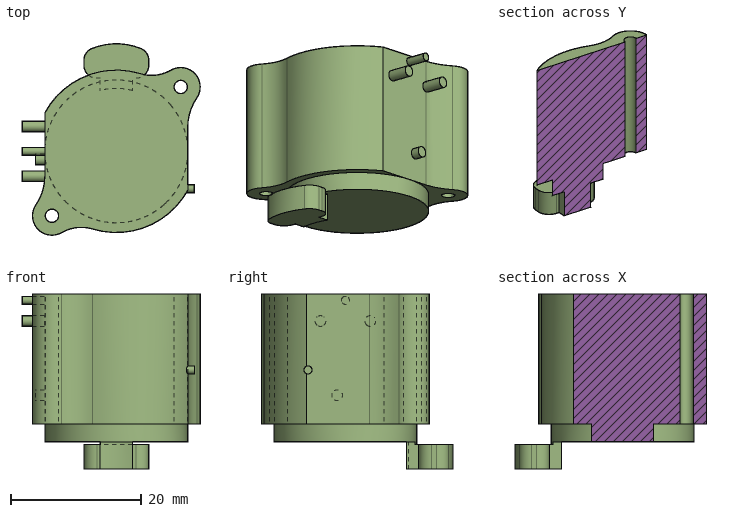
import cadquery as cq
import math

body_height = 20.0
body_radius = 12.5
flat_x = 11.0
ear_radius = 3.0
ear_circle_radius = 14.0
ear_angle = math.radians(45)
hole_radius = 1.0
flat_blend_radius = 8.0
round_blend_radius = 6.0

base_height = 2.7
base_radius = flat_x

lever_bottom = -6.9
lever_height = 3.8
lever_top = lever_bottom + lever_height
lever_half_width = 5.0
lever_tip_y = 16.55
lever_tip_radius = 10.0
lever_corner_radius = 2.0
lever_inner_y = 11.25
neck_half_width = 2.5
neck_inner_radius = 9.7

pin_root_x = 8.85
long_pin_x = -14.47
left_pin_radius = 0.83
small_pin_radius = 0.62
upper_pin_y = 3.83
upper_pin_z = 15.85
pins = [
    (long_pin_x, upper_pin_y, upper_pin_z, left_pin_radius),
    (long_pin_x, -upper_pin_y, upper_pin_z, left_pin_radius),
    (long_pin_x, 0, 19.05, small_pin_radius),
    (-12.45, -1.27, 4.45, left_pin_radius),
    (12.0, -5.75, 8.35, small_pin_radius),
]

ear_x = ear_circle_radius * math.cos(ear_angle)
ear_y = ear_circle_radius * math.sin(ear_angle)


def toward(start, end, distance):
    """Point at a given distance from start on the line toward end."""
    length = math.dist(start, end)
    return tuple(a + (b - a) * distance / length for a, b in zip(start, end))


def half_turn(solid):
    return solid.rotate((0, 0, 0), (0, 0, 1), 180)


def make_ear():
    """Ear in the +X +Y corner with tangent hollows on both sides."""
    ear_center = (ear_x, ear_y)

    flat_blend_x = flat_x + flat_blend_radius
    flat_reach = ear_radius + flat_blend_radius
    flat_blend_y = ear_y - math.sqrt(flat_reach**2 - (flat_blend_x - ear_x)**2)
    flat_blend = (flat_blend_x, flat_blend_y)

    wall_reach = body_radius + round_blend_radius
    ear_reach = ear_radius + round_blend_radius
    cosine = (wall_reach**2 + ear_circle_radius**2 - ear_reach**2) / (2 * wall_reach * ear_circle_radius)
    blend_angle = ear_angle + math.acos(cosine)
    round_blend = (wall_reach * math.cos(blend_angle), wall_reach * math.sin(blend_angle))

    ear_tip_reach = ear_circle_radius + ear_radius
    ear_tip = (ear_tip_reach * math.cos(ear_angle), ear_tip_reach * math.sin(ear_angle))
    return (
        cq.Workplane("XY")
        .lineTo(flat_x, 0)
        .lineTo(flat_x, flat_blend_y)
        .threePointArc(
            toward(flat_blend, (flat_x, ear_y - ear_radius / 2), flat_blend_radius),
            toward(flat_blend, ear_center, flat_blend_radius),
        )
        .threePointArc(ear_tip, toward(round_blend, ear_center, round_blend_radius))
        .threePointArc(
            toward(round_blend, (ear_x / 2, ear_y), round_blend_radius),
            toward((0, 0), round_blend, body_radius),
        )
        .close()
        .extrude(body_height)
    )


def make_housing():
    flats = cq.Workplane("XY").box(2 * flat_x, 2 * body_radius, body_height, centered=(True, True, False))
    core = cq.Workplane("XY").circle(body_radius).extrude(body_height).intersect(flats)
    ear = make_ear()
    holes = (
        cq.Workplane("XY")
        .pushPoints([(ear_x, ear_y), (-ear_x, -ear_y)])
        .circle(hole_radius)
        .extrude(body_height)
    )
    return core.union(ear).union(half_turn(ear)).cut(holes)


def make_lever():
    """Rounded paddle with a neck that joins it to the base."""
    tip_center = (0, lever_tip_y - lever_tip_radius)
    corner_x = lever_half_width - lever_corner_radius
    corner_offset = math.sqrt((lever_tip_radius - lever_corner_radius)**2 - corner_x**2)
    outer_corner_y = tip_center[1] + corner_offset
    inner_corner_y = lever_inner_y + lever_corner_radius
    tip_end = toward(tip_center, (corner_x, outer_corner_y), lever_tip_radius)
    diagonal = lever_corner_radius * math.sqrt(0.5)
    paddle = (
        cq.Workplane("XY", origin=(0, 0, lever_bottom))
        .moveTo(-corner_x, lever_inner_y)
        .lineTo(corner_x, lever_inner_y)
        .threePointArc(
            (corner_x + diagonal, inner_corner_y - diagonal),
            (lever_half_width, inner_corner_y),
        )
        .lineTo(lever_half_width, outer_corner_y)
        .threePointArc((corner_x + diagonal, outer_corner_y + diagonal), tip_end)
        .threePointArc((0, lever_tip_y), (-tip_end[0], tip_end[1]))
        .threePointArc(
            (-corner_x - diagonal, outer_corner_y + diagonal),
            (-lever_half_width, outer_corner_y),
        )
        .lineTo(-lever_half_width, inner_corner_y)
        .threePointArc(
            (-corner_x - diagonal, inner_corner_y - diagonal),
            (-corner_x, lever_inner_y),
        )
        .close()
        .extrude(lever_height)
    )

    neck_height = -base_height - lever_bottom
    strip = (
        cq.Workplane("XY", origin=(0, 0, lever_bottom))
        .rect(2 * neck_half_width, 2 * lever_inner_y)
        .extrude(neck_height)
        .intersect(cq.Workplane("XY").box(2 * lever_tip_y, lever_tip_y, body_height, centered=(True, False, True)))
    )
    bore = cq.Workplane("XY", origin=(0, 0, lever_bottom)).circle(neck_inner_radius).extrude(neck_height)
    above_paddle = (
        cq.Workplane("XY", origin=(0, 0, lever_top))
        .circle(lever_tip_y)
        .circle(base_radius)
        .extrude(-lever_top)
    )
    return paddle.union(strip.cut(bore).cut(above_paddle))


def make_pin(end_x, y, z, radius):
    root_x = math.copysign(pin_root_x, end_x)
    return cq.Workplane("YZ", origin=(root_x, y, z)).circle(radius).extrude(end_x - root_x)


base = cq.Workplane("XY").circle(base_radius).extrude(-base_height)
result = make_housing().union(base).union(make_lever())
for pin in pins:
    result = result.union(make_pin(*pin))